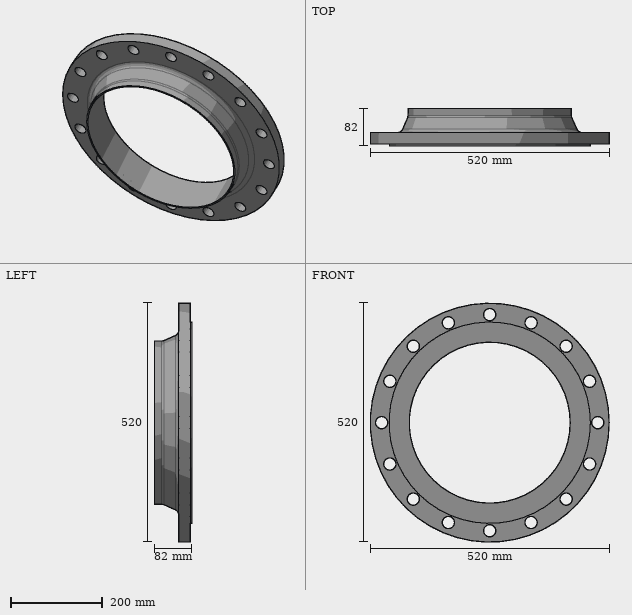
import cadquery as cq

flange_diameter = 520.0
total_length = 82.0

face_diameter = 438.0
face_height = 4.0
plate_thickness = 25.5

bore_diameter = 349.5
neck_diameter = 355.5
neck_length = 18.0
hub_diameter = 386.0
hub_root_radius = 12.0
neck_blend_radius = 12.0

bolt_count = 16
bolt_circle_diameter = 470.0
bolt_hole_diameter = 26.0

plate_back = face_height + plate_thickness
neck_start = total_length - neck_length


def make_body():
    """Revolve the half section (radius, axial position) about the Y axis."""
    section = (
        cq.Workplane("XY")
        .moveTo(bore_diameter / 2, 0)
        .lineTo(face_diameter / 2, 0)
        .lineTo(face_diameter / 2, face_height)
        .lineTo(flange_diameter / 2, face_height)
        .lineTo(flange_diameter / 2, plate_back)
        .lineTo(hub_diameter / 2, plate_back)
        .lineTo(neck_diameter / 2, neck_start)
        .lineTo(neck_diameter / 2, total_length)
        .lineTo(bore_diameter / 2, total_length)
        .close()
    )
    return section.revolve(360, (0, 0, 0), (0, 1, 0))


def smallest_circle(body, height):
    """Select the smallest circular edge lying at a given position along the axis."""
    reach = 0.05
    near_axis_point = cq.selectors.BoxSelector((-reach, height - reach, -reach), (reach, height + reach, reach))
    return body.edges("%CIRCLE").edges(near_axis_point).edges(cq.selectors.RadiusNthSelector(0))


def make_bolt_holes():
    """Cutters for the bolt holes, the first one on the +X axis."""
    return (
        cq.Workplane("XZ")
        .polarArray(bolt_circle_diameter / 2, 0, 360, bolt_count)
        .circle(bolt_hole_diameter / 2)
        .extrude(-plate_back)
    )


body = make_body()
body = smallest_circle(body, plate_back).fillet(hub_root_radius)
body = smallest_circle(body, neck_start).fillet(neck_blend_radius)
result = body.cut(make_bolt_holes())